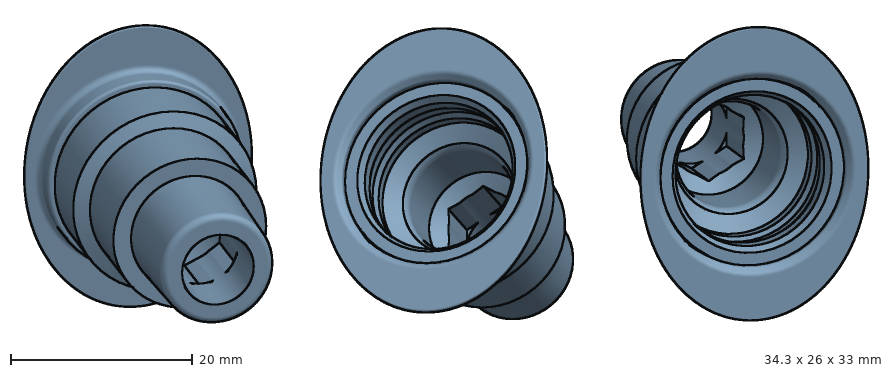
import cadquery as cq
import math

LENGTH = 34.3

FLANGE_WIDTH = 26.0
FLANGE_HEIGHT = 33.0
FLANGE_THICKNESS = 0.62
FLANGE_EDGE_FILLET = 0.17
COLLAR_RADIUS = 22.4 / 2
COLLAR_END = 3.7
COLLAR_ROOT_FILLET = 0.75
COLLAR_END_FILLET = 0.35
COLLAR_BORE_RADIUS = 21.2 / 2
MOUTH_FILLET = 0.7
MOUTH_RADIUS = 11.6
THROAT_FILLET = 0.35
LIP_START = 3.02
LIP_RADIUS = 20.4 / 2

NOSE_START = 1.3
BARREL_RADIUS = 21.0 / 2
NECK_RADIUS = 20.0 / 2
NECK_END = 3.85
BARREL_END = 11.73
SHOULDER_END = 12.35
MIDDLE_RADIUS = 17.5 / 2
MIDDLE_END = 22.33
TAIL_BASE_RADIUS = 6.72
TAIL_TIP_RADIUS = 6.4
TAIL_ROUND_LENGTH = 0.75
TAIL_ROUND_DEPTH = 0.8

ENTRY_RADIUS = 9.1
MAIN_BORE_RADIUS = 17.0 / 2
ENTRY_END = 2.25
GROOVE_RADIUS = 8.92
GROOVE_START = 4.2
GROOVE_RAMP = 0.95
GROOVE_END = 7.8
MAIN_BORE_END = 9.33
SEAT_RADIUS = 6.48
SEAT_END = 10.43
SMALL_BORE_RADIUS = 12.0 / 2
SMALL_BORE_START = 11.65
SMALL_BORE_END = 19.2
DRILL_POINT_SLOPE = math.radians(30)
THROUGH_RADIUS = 8.2 / 2
HEX_FLATS = 8.03
HEX_END = 27.45

DIAGONAL = math.sqrt(0.5)


def revolve_about_x(profile):
    """Turn a closed (x, radius) outline about the X axis."""
    return profile.close().revolve(360, (0, 0, 0), (1, 0, 0))


def make_flange():
    plate = (
        cq.Workplane("YZ")
        .ellipse(FLANGE_WIDTH / 2, FLANGE_HEIGHT / 2)
        .extrude(FLANGE_THICKNESS)
        .edges()
        .fillet(FLANGE_EDGE_FILLET)
    )
    root_end = FLANGE_THICKNESS + COLLAR_ROOT_FILLET
    arc_drop = 1 - DIAGONAL
    collar = revolve_about_x(
        cq.Workplane("XY")
        .moveTo(FLANGE_THICKNESS / 2, 0)
        .lineTo(FLANGE_THICKNESS / 2, COLLAR_RADIUS + COLLAR_ROOT_FILLET)
        .lineTo(FLANGE_THICKNESS, COLLAR_RADIUS + COLLAR_ROOT_FILLET)
        .threePointArc(
            (root_end - COLLAR_ROOT_FILLET * DIAGONAL, COLLAR_RADIUS + COLLAR_ROOT_FILLET * arc_drop),
            (root_end, COLLAR_RADIUS),
        )
        .lineTo(COLLAR_END - COLLAR_END_FILLET, COLLAR_RADIUS)
        .threePointArc(
            (COLLAR_END - COLLAR_END_FILLET * arc_drop, COLLAR_RADIUS - COLLAR_END_FILLET * arc_drop),
            (COLLAR_END, COLLAR_RADIUS - COLLAR_END_FILLET),
        )
        .lineTo(COLLAR_END, 0)
    )
    return plate.union(collar).cut(make_collar_opening())


def make_collar_opening():
    """Rounded 45 degree mouth, collar bore and the smaller hole inside the retaining lip."""
    half_angle = math.radians(22.5)
    mouth_x = MOUTH_FILLET * (1 - DIAGONAL)
    mouth_radius = MOUTH_RADIUS - MOUTH_FILLET * DIAGONAL
    throat_radius = COLLAR_BORE_RADIUS + THROAT_FILLET * (1 - DIAGONAL)
    throat_x = mouth_x + mouth_radius - throat_radius
    bore_x = throat_x + THROAT_FILLET * DIAGONAL
    return revolve_about_x(
        cq.Workplane("XY")
        .moveTo(0, 0)
        .lineTo(0, MOUTH_RADIUS)
        .threePointArc(
            (MOUTH_FILLET * (1 - math.cos(half_angle)), MOUTH_RADIUS - MOUTH_FILLET * math.sin(half_angle)),
            (mouth_x, mouth_radius),
        )
        .lineTo(throat_x, throat_radius)
        .threePointArc(
            (
                bore_x - THROAT_FILLET * math.sin(half_angle),
                COLLAR_BORE_RADIUS + THROAT_FILLET * (1 - math.cos(half_angle)),
            ),
            (bore_x, COLLAR_BORE_RADIUS),
        )
        .lineTo(LIP_START, COLLAR_BORE_RADIUS)
        .lineTo(LIP_START, LIP_RADIUS)
        .lineTo(COLLAR_END, LIP_RADIUS)
        .lineTo(COLLAR_END, 0)
    )


def make_spigot():
    outside = revolve_about_x(
        cq.Workplane("XY")
        .moveTo(NOSE_START, 0)
        .lineTo(NOSE_START, BARREL_RADIUS)
        .lineTo(LIP_START, BARREL_RADIUS)
        .lineTo(LIP_START, NECK_RADIUS)
        .lineTo(NECK_END, NECK_RADIUS)
        .lineTo(NECK_END, BARREL_RADIUS)
        .lineTo(BARREL_END, BARREL_RADIUS)
        .lineTo(SHOULDER_END, MIDDLE_RADIUS)
        .lineTo(MIDDLE_END, MIDDLE_RADIUS)
        .lineTo(MIDDLE_END, TAIL_BASE_RADIUS)
        .lineTo(LENGTH - TAIL_ROUND_LENGTH, TAIL_TIP_RADIUS)
        .threePointArc(
            (
                LENGTH - TAIL_ROUND_LENGTH * (1 - DIAGONAL),
                TAIL_TIP_RADIUS - TAIL_ROUND_DEPTH * (1 - DIAGONAL),
            ),
            (LENGTH, TAIL_TIP_RADIUS - TAIL_ROUND_DEPTH),
        )
        .lineTo(LENGTH, 0)
    )
    return outside.cut(make_spigot_bore()).cut(make_hex_socket())


def make_spigot_bore():
    """Tapered entry, grooved main bore, conical seat, small bore and through hole."""
    lead_in_length = SMALL_BORE_START - SEAT_END
    lead_in_angle = 2 * math.atan2(SEAT_RADIUS - SMALL_BORE_RADIUS, lead_in_length)
    lead_in_radius = lead_in_length / math.sin(lead_in_angle)
    drill_point = (SMALL_BORE_RADIUS - THROUGH_RADIUS) * math.tan(DRILL_POINT_SLOPE)
    return revolve_about_x(
        cq.Workplane("XY")
        .moveTo(NOSE_START, 0)
        .lineTo(NOSE_START, ENTRY_RADIUS)
        .lineTo(ENTRY_END, MAIN_BORE_RADIUS)
        .lineTo(GROOVE_START, MAIN_BORE_RADIUS)
        .lineTo(GROOVE_START + GROOVE_RAMP, GROOVE_RADIUS)
        .lineTo(GROOVE_END - GROOVE_RAMP, GROOVE_RADIUS)
        .lineTo(GROOVE_END, MAIN_BORE_RADIUS)
        .lineTo(MAIN_BORE_END, MAIN_BORE_RADIUS)
        .lineTo(SEAT_END, SEAT_RADIUS)
        .threePointArc(
            (
                SMALL_BORE_START - lead_in_radius * math.sin(lead_in_angle / 2),
                SMALL_BORE_RADIUS + lead_in_radius * (1 - math.cos(lead_in_angle / 2)),
            ),
            (SMALL_BORE_START, SMALL_BORE_RADIUS),
        )
        .lineTo(SMALL_BORE_END, SMALL_BORE_RADIUS)
        .lineTo(SMALL_BORE_END + drill_point, THROUGH_RADIUS)
        .lineTo(LENGTH, THROUGH_RADIUS)
        .lineTo(LENGTH, 0)
    )


def make_hex_socket():
    """Hexagonal prism with two corners on the Z axis, sunk beyond the small bore."""
    corner_diameter = HEX_FLATS / math.cos(math.radians(30))
    return (
        cq.Workplane("YZ", origin=(SMALL_BORE_END, 0, 0))
        .transformed(rotate=(0, 0, 90))
        .polygon(6, corner_diameter)
        .extrude(HEX_END - SMALL_BORE_END)
    )


flange = make_flange()
spigot = make_spigot()

result = cq.Compound.makeCompound([flange.val(), spigot.val()])